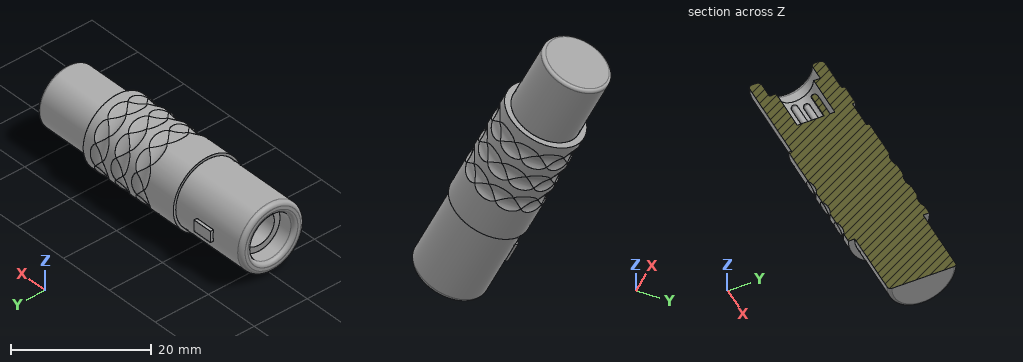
import cadquery as cq
import math

LENGTH = 45.0
COLLAR_START = 14.25
COLLAR_END = 33.9
FRONT_RADIUS = 6.0
COLLAR_RADIUS = 6.45
REAR_RADIUS = 5.45
MOUTH_OUTER_FILLET = 0.75
MOUTH_INNER_FILLET = 0.7
REAR_FILLET = 0.5

SOCKET_RADIUS = 4.0
SOCKET_DEPTH = 3.1
INSERT_RADIUS = 2.95
INSERT_DEPTH = 10.0

PIN_COUNT = 5
PIN_RADIUS = 0.5
PIN_CIRCLE_RADIUS = 1.75
PIN_TIP_DEPTH = 5.5

KEY_START = 6.1
KEY_LENGTH = 3.6
KEY_WIDTH = 2.0
KEY_TOP = 6.49

BAND_COUNT = 3
BAND_PITCH = 4.5
FIRST_RING_X = 21.25
RINGS_PER_BAND = 2
RING_SPACING = 0.8
SCALLOPS_PER_RING = 10
SCALLOP_DEPTH = 0.36
SCALLOP_RADIUS = 2.5
SCALLOP_STEP = 360 / SCALLOPS_PER_RING
CUTTER_LENGTH = COLLAR_RADIUS


def x_cylinder(radius, start, end, y=0.0, z=0.0):
    """Cylinder along X between two X positions."""
    return cq.Workplane("YZ", origin=(start, y, z)).circle(radius).extrude(end - start)


def make_shell():
    """Front barrel, collar and rear barrel with rounded outer ends."""
    front = x_cylinder(FRONT_RADIUS, 0, COLLAR_START).faces("<X").edges().fillet(MOUTH_OUTER_FILLET)
    collar = x_cylinder(COLLAR_RADIUS, COLLAR_START, COLLAR_END)
    rear = x_cylinder(REAR_RADIUS, COLLAR_END, LENGTH).faces(">X").edges().fillet(REAR_FILLET)
    return front.union(collar).union(rear)


def scallop_cutter(x, angle):
    """Cylinder lying across the part, rolled about X from the +Z side by the given angle."""
    axis_height = COLLAR_RADIUS - SCALLOP_DEPTH + SCALLOP_RADIUS
    cutter = (
        cq.Workplane("XZ")
        .center(x, axis_height)
        .circle(SCALLOP_RADIUS)
        .extrude(CUTTER_LENGTH / 2, both=True)
    )
    return cutter.rotate((0, 0, 0), (1, 0, 0), angle).val()


def cut_grip(body):
    """Press the bands of scallops into the collar; each second ring is turned by half a step."""
    cutters = []
    for band in range(BAND_COUNT):
        for ring in range(RINGS_PER_BAND):
            x = FIRST_RING_X + band * BAND_PITCH + ring * RING_SPACING
            for i in range(SCALLOPS_PER_RING):
                cutters.append(scallop_cutter(x, (i + ring / RINGS_PER_BAND) * SCALLOP_STEP))
    return cq.Workplane(body.val().cut(*cutters))


def cut_socket(body):
    """Bore the stepped socket and round its mouth."""
    socket = x_cylinder(SOCKET_RADIUS, 0, SOCKET_DEPTH)
    insert = x_cylinder(INSERT_RADIUS, SOCKET_DEPTH, INSERT_DEPTH)
    bored = body.cut(socket).cut(insert)
    mouth = cq.selectors.RadiusNthSelector(0)
    return bored.faces("<X").edges(mouth).fillet(MOUTH_INNER_FILLET)


def make_pin(angle):
    """Round-tipped contact pin, placed around the bore from the +Y direction."""
    y = PIN_CIRCLE_RADIUS * math.cos(math.radians(angle))
    z = PIN_CIRCLE_RADIUS * math.sin(math.radians(angle))
    shank_end = PIN_TIP_DEPTH + PIN_RADIUS
    shank = x_cylinder(PIN_RADIUS, shank_end, INSERT_DEPTH + PIN_RADIUS, y, z)
    tip = cq.Workplane("XY", origin=(shank_end, y, z)).sphere(PIN_RADIUS)
    return shank.union(tip)


def make_key():
    """Flat-topped key block, sunk into the wall of the front barrel."""
    wall_middle = (FRONT_RADIUS + SOCKET_RADIUS) / 2
    key_height = KEY_TOP - wall_middle
    base = cq.Workplane("XY", origin=(KEY_START, wall_middle, 0))
    return base.box(KEY_LENGTH, key_height, KEY_WIDTH, centered=(False, False, True))


result = cut_socket(cut_grip(make_shell()))
for i in range(PIN_COUNT):
    result = result.union(make_pin(i * 360 / PIN_COUNT))
result = result.union(make_key())